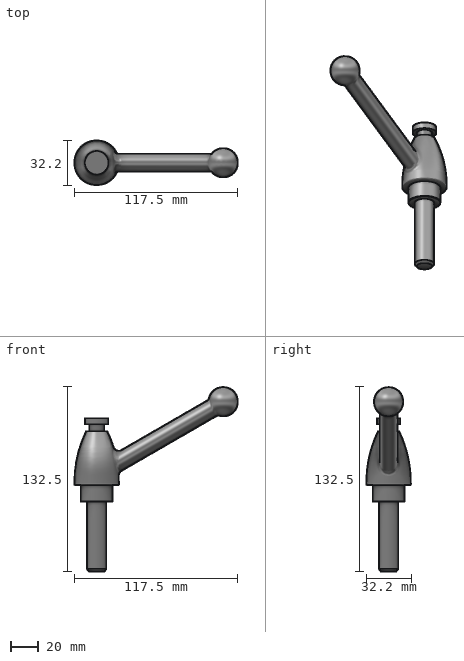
import cadquery as cq
import math

stud_diameter = 14.0
stud_tip_diameter = 11.0
stud_chamfer_height = 1.9
collar_diameter = 23.0
collar_bottom_z = 50.2
collar_edge_chamfer = 0.3

hub_diameter = 32.2
hub_top_diameter = 15.1
hub_bottom_z = 62.0
hub_top_z = 100.8
hub_edge_radius = 1.0
hub_side_bulge = 2.3

neck_diameter = 11.0
cap_diameter = 17.0
cap_bottom_z = 105.6
cap_top_z = 110.1

total_length = 117.5
total_height = 132.5
arm_diameter = 13.0
arm_angle = 30
ball_diameter = 21.2
arm_root_radius = 4
ball_neck_radius = 3.0

hub_radius = hub_diameter / 2
ball_radius = ball_diameter / 2
arm_radius = arm_diameter / 2
ball_x = total_length - hub_radius - ball_radius
ball_z = total_height - ball_radius
arm_length = ball_x / math.cos(math.radians(arm_angle))
arm_root_z = ball_z - ball_x * math.tan(math.radians(arm_angle))


def cylinder(diameter, bottom_z, top_z):
    """Upright cylinder on the Z axis."""
    return cq.Workplane("XY", origin=(0, 0, bottom_z)).circle(diameter / 2).extrude(top_z - bottom_z)


def make_hub():
    """Ogive revolved about Z, with a rounded lower rim."""
    top_radius = hub_top_diameter / 2
    side_start_z = hub_bottom_z + hub_edge_radius
    hub = (
        cq.Workplane("XZ")
        .moveTo(0, hub_bottom_z)
        .lineTo(hub_radius - hub_edge_radius, hub_bottom_z)
        .radiusArc((hub_radius, side_start_z), -hub_edge_radius)
        .sagittaArc((top_radius, hub_top_z), -hub_side_bulge)
        .lineTo(0, hub_top_z)
        .close()
        .revolve(360, (0, 0, 0), (0, 1, 0))
    )
    return hub.rotate((0, 0, 0), (0, 0, 1), 180)


def make_lever():
    """Arm and ball revolved about the tilted arm axis, joined by a concave arc."""
    blend_offset = math.sqrt((ball_radius + ball_neck_radius) ** 2 - (arm_radius + ball_neck_radius) ** 2)
    ball_share = ball_radius / (ball_radius + ball_neck_radius)
    ball_touch = (
        arm_length - blend_offset * ball_share,
        (arm_radius + ball_neck_radius) * ball_share,
    )
    lever = (
        cq.Workplane("XZ")
        .lineTo(0, arm_radius)
        .lineTo(arm_length - blend_offset, arm_radius)
        .radiusArc(ball_touch, -ball_neck_radius)
        .threePointArc((arm_length, ball_radius), (arm_length + ball_radius, 0))
        .close()
        .revolve(360, (0, 0, 0), (1, 0, 0))
    )
    return lever.rotate((0, 0, 0), (0, 1, 0), -arm_angle).translate((0, 0, arm_root_z))


def make_stud():
    """Plain round stud with a chamfered tip."""
    tip_inset = (stud_diameter - stud_tip_diameter) / 2
    stud = cylinder(stud_diameter, 0, collar_bottom_z)
    return stud.faces("<Z").chamfer(stud_chamfer_height, tip_inset)


root_search_box = cq.selectors.BoxSelector(
    (hub_radius / 2, -hub_radius, hub_bottom_z + 2 * hub_edge_radius),
    (2 * hub_radius, hub_radius, hub_top_z),
)
handle = make_hub().union(make_lever())
handle = handle.edges(root_search_box).edges("not %CIRCLE").fillet(arm_root_radius)

collar = cylinder(collar_diameter, collar_bottom_z, hub_bottom_z)
collar = collar.faces("<Z").chamfer(collar_edge_chamfer)
neck = cylinder(neck_diameter, hub_top_z, cap_bottom_z)
cap = cylinder(cap_diameter, cap_bottom_z, cap_top_z)

result = handle.union(make_stud()).union(collar).union(neck).union(cap)